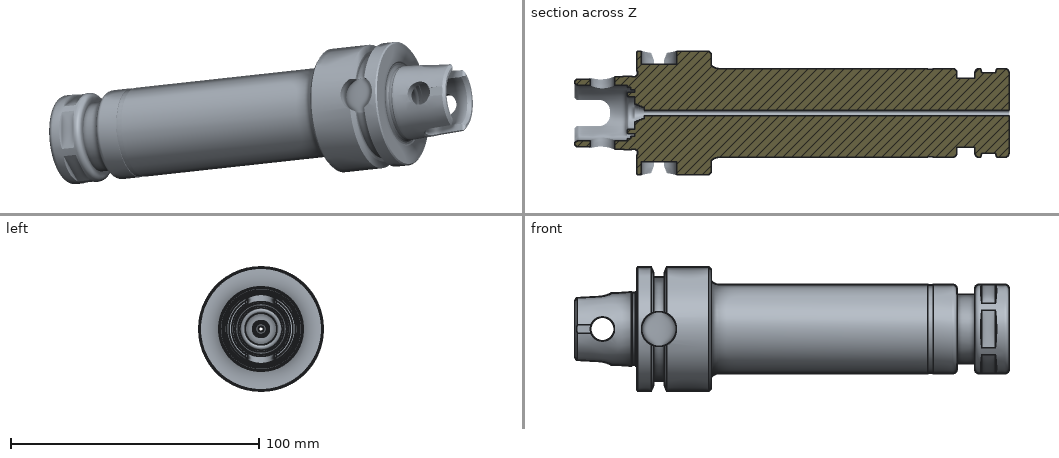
import cadquery as cq
import math


SHANK_LENGTH = 25.0
TAPER_END_RADIUS = 14.95
TAPER_END_X = -2.3
TAPER_SLOPE = 0.05
TIP_CHAMFER = 1.0
NECK_GROOVE_RADIUS = 14.7
NECK_GROOVE_START_X = -1.8
NECK_GROOVE_END_X = -0.6
NECK_SHOULDER_RADIUS = 15.2
FACE_RELIEF_RADIUS = 17.0
FACE_RELIEF_DEPTH = 0.3
FACE_RELIEF_SLOPE_WIDTH = 0.5

FLANGE_RADIUS = 25.0
FLANGE_LENGTH = 30.0
FLANGE_FRONT_CHAMFER = 0.5
FLANGE_BACK_CHAMFER = 1.0
GRIP_GROOVE_CENTRE_X = 8.95
GRIP_GROOVE_MOUTH = 6.3
GRIP_GROOVE_WIDTH = 4.1
GRIP_GROOVE_SHOULDER_RADIUS = 22.4
GRIP_GROOVE_RADIUS = 21.0

BODY_RADIUS = 18.0
BODY_END_X = 129.0
BODY_END_FILLET = 2.0
BODY_ROOT_LENGTH = 3.0
BODY_ROOT_FILLET = 4.0
RING_GROOVE_X = 117.1
RING_GROOVE_WIDTH = 2.2
RING_GROOVE_DEPTH = 0.25

COLLAR_RADIUS = 14.0
NUT_START_X = 136.0
NUT_END_X = 150.0
NUT_RADIUS = 18.0
NUT_FILLET = 2.0
NUT_FLAT_COUNT = 6
NUT_FLAT_DISTANCE = 16.3
NUT_FLAT_START_X = 138.95
NUT_FLAT_LENGTH = 5.4
NUT_FLAT_END_FLARE = 0.5

BORE_RADIUS = 11.0
BORE_CHAMFER_RADIAL = 0.8
BORE_CHAMFER_LENGTH = 1.6
BORE_DEPTH = 21.0
MIDDLE_BORE_RADIUS = 10.3
MIDDLE_BORE_DEPTH = 22.5
INNER_BORE_RADIUS = 9.25
INNER_BORE_DEPTH = 24.0
COOLANT_TUBE_RADIUS = 17.0 / 2
COOLANT_TUBE_INNER_RADIUS = 12.8 / 2
COOLANT_TUBE_LENGTH = 3.0
COOLANT_HOLE_RADII = (3.4, 6.0 / 2, 5.2 / 2, 4.5 / 2)
COOLANT_HOLE_STEP = 1.0
THROUGH_HOLE_RADIUS = 2.0 / 2

SLOT_WIDTH = 10.5
SLOT_LENGTH = 14.2
SLOT_CORNER_RADIUS = 4.4
SLOT_CHAMFER = 0.6
SLOT_MOUTH_CHAMFER = 0.9
CLAMP_HOLE_DIAMETER = 9.5
CLAMP_HOLE_FROM_TIP = 11.2
SHANK_FLAT_WIDTH = 3.6

POCKET_DIAMETER = 14.0
POCKET_FLOOR_Y = 19.7

TIP_X = -SHANK_LENGTH
CUT_MARGIN = 1.0


def taper_radius(x):
    """Radius of the shank cone at a given X."""
    return TAPER_END_RADIUS - TAPER_SLOPE * (TAPER_END_X - x)


def make_outside():
    """Revolve the outer profile, drawn as (x, radius), about the X axis."""
    taper_start_x = TIP_X + TIP_CHAMFER
    mouth_start_x = GRIP_GROOVE_CENTRE_X - GRIP_GROOVE_MOUTH / 2
    mouth_end_x = GRIP_GROOVE_CENTRE_X + GRIP_GROOVE_MOUTH / 2
    floor_start_x = GRIP_GROOVE_CENTRE_X - GRIP_GROOVE_WIDTH / 2
    floor_end_x = GRIP_GROOVE_CENTRE_X + GRIP_GROOVE_WIDTH / 2
    root_centre_x = FLANGE_LENGTH + BODY_ROOT_LENGTH
    root_centre_radius = BODY_RADIUS + BODY_ROOT_FILLET
    root_angle = math.asin(BODY_ROOT_LENGTH / BODY_ROOT_FILLET)
    root_start = (FLANGE_LENGTH, root_centre_radius - BODY_ROOT_FILLET * math.cos(root_angle))
    root_middle = (
        root_centre_x - BODY_ROOT_FILLET * math.sin(root_angle / 2),
        root_centre_radius - BODY_ROOT_FILLET * math.cos(root_angle / 2),
    )
    ring_groove_end_x = RING_GROOVE_X + RING_GROOVE_WIDTH
    ring_groove_radius = BODY_RADIUS - RING_GROOVE_DEPTH
    profile = (
        cq.Workplane("XY")
        .moveTo(TIP_X, 0)
        .lineTo(TIP_X, taper_radius(taper_start_x) - TIP_CHAMFER)
        .lineTo(taper_start_x, taper_radius(taper_start_x))
        .lineTo(TAPER_END_X, TAPER_END_RADIUS)
        .lineTo(NECK_GROOVE_START_X, NECK_GROOVE_RADIUS)
        .lineTo(NECK_GROOVE_END_X, NECK_GROOVE_RADIUS)
        .lineTo(0, NECK_SHOULDER_RADIUS)
        .lineTo(FACE_RELIEF_DEPTH, NECK_SHOULDER_RADIUS + FACE_RELIEF_SLOPE_WIDTH)
        .lineTo(FACE_RELIEF_DEPTH, FACE_RELIEF_RADIUS - FACE_RELIEF_SLOPE_WIDTH)
        .lineTo(0, FACE_RELIEF_RADIUS)
        .lineTo(0, FLANGE_RADIUS - FLANGE_FRONT_CHAMFER)
        .lineTo(FLANGE_FRONT_CHAMFER, FLANGE_RADIUS)
        .lineTo(mouth_start_x, FLANGE_RADIUS)
        .lineTo(floor_start_x, GRIP_GROOVE_SHOULDER_RADIUS)
        .lineTo(floor_start_x, GRIP_GROOVE_RADIUS)
        .lineTo(floor_end_x, GRIP_GROOVE_RADIUS)
        .lineTo(floor_end_x, GRIP_GROOVE_SHOULDER_RADIUS)
        .lineTo(mouth_end_x, FLANGE_RADIUS)
        .lineTo(FLANGE_LENGTH - FLANGE_BACK_CHAMFER, FLANGE_RADIUS)
        .lineTo(FLANGE_LENGTH, FLANGE_RADIUS - FLANGE_BACK_CHAMFER)
        .lineTo(*root_start)
        .threePointArc(root_middle, (root_centre_x, BODY_RADIUS))
        .lineTo(RING_GROOVE_X, BODY_RADIUS)
        .lineTo(RING_GROOVE_X, ring_groove_radius)
        .lineTo(ring_groove_end_x, ring_groove_radius)
        .lineTo(ring_groove_end_x, BODY_RADIUS)
        .lineTo(BODY_END_X - BODY_END_FILLET, BODY_RADIUS)
        .tangentArcPoint((BODY_END_X, BODY_RADIUS - BODY_END_FILLET), relative=False)
        .lineTo(BODY_END_X, COLLAR_RADIUS)
        .lineTo(NUT_START_X, COLLAR_RADIUS)
        .lineTo(NUT_START_X, NUT_RADIUS - NUT_FILLET)
        .radiusArc((NUT_START_X + NUT_FILLET, NUT_RADIUS), NUT_FILLET)
        .lineTo(NUT_END_X - NUT_FILLET, NUT_RADIUS)
        .radiusArc((NUT_END_X, NUT_RADIUS - NUT_FILLET), NUT_FILLET)
        .lineTo(NUT_END_X, 0)
        .close()
    )
    return profile.revolve(360, (0, 0, 0), (1, 0, 0))


def make_bore():
    """Stepped shank bore around the coolant tube, with the coolant hole through the part."""
    bore_floor_x = TIP_X + INNER_BORE_DEPTH
    lip_radius = (COOLANT_TUBE_RADIUS - COOLANT_TUBE_INNER_RADIUS) / 2
    lip_start_x = bore_floor_x - COOLANT_TUBE_LENGTH + lip_radius
    profile = (
        cq.Workplane("XY")
        .moveTo(TIP_X, 0)
        .lineTo(TIP_X, BORE_RADIUS + BORE_CHAMFER_RADIAL)
        .lineTo(TIP_X + BORE_CHAMFER_LENGTH, BORE_RADIUS)
        .lineTo(TIP_X + BORE_DEPTH, BORE_RADIUS)
        .lineTo(TIP_X + BORE_DEPTH, MIDDLE_BORE_RADIUS)
        .lineTo(TIP_X + MIDDLE_BORE_DEPTH, MIDDLE_BORE_RADIUS)
        .lineTo(TIP_X + MIDDLE_BORE_DEPTH, INNER_BORE_RADIUS)
        .lineTo(bore_floor_x, INNER_BORE_RADIUS)
        .lineTo(bore_floor_x, COOLANT_TUBE_RADIUS)
        .lineTo(lip_start_x, COOLANT_TUBE_RADIUS)
        .threePointArc(
            (lip_start_x - lip_radius, COOLANT_TUBE_RADIUS - lip_radius),
            (lip_start_x, COOLANT_TUBE_INNER_RADIUS),
        )
        .lineTo(bore_floor_x, COOLANT_TUBE_INNER_RADIUS)
    )
    step_x = bore_floor_x
    for radius in COOLANT_HOLE_RADII:
        profile = profile.lineTo(step_x, radius)
        step_x += COOLANT_HOLE_STEP
        profile = profile.lineTo(step_x, radius)
    profile = (
        profile.lineTo(step_x, THROUGH_HOLE_RADIUS)
        .lineTo(NUT_END_X + CUT_MARGIN, THROUGH_HOLE_RADIUS)
        .lineTo(NUT_END_X + CUT_MARGIN, 0)
        .close()
    )
    return profile.revolve(360, (0, 0, 0), (1, 0, 0))


def cut_drive_slots(part):
    """Cut the round-cornered slot along Z, open at the tip, and break its outer edges."""
    overrun = SLOT_CORNER_RADIUS + CUT_MARGIN
    slot = (
        cq.Workplane("XY")
        .box(SLOT_LENGTH + overrun, SLOT_WIDTH, 2 * FLANGE_RADIUS, centered=(False, True, True))
        .edges("|Z")
        .fillet(SLOT_CORNER_RADIUS)
        .translate((TIP_X - overrun, 0, 0))
    )
    half_width = SLOT_WIDTH / 2
    slot_end_x = TIP_X + SLOT_LENGTH
    part = part.cut(slot)
    for side in (-1, 1):
        slot_rim = cq.selectors.BoxSelector(
            (TIP_X + TIP_CHAMFER, -half_width - CUT_MARGIN, side * BORE_RADIUS),
            (slot_end_x + CUT_MARGIN, half_width + CUT_MARGIN, side * FLANGE_RADIUS),
        )
        part = part.edges(slot_rim).chamfer(SLOT_CHAMFER)
    mouth_half_width = half_width + SLOT_MOUTH_CHAMFER
    mouth = (
        cq.Workplane("XY")
        .moveTo(TIP_X, -mouth_half_width)
        .lineTo(TIP_X + SLOT_MOUTH_CHAMFER, -half_width)
        .lineTo(TIP_X + SLOT_MOUTH_CHAMFER, half_width)
        .lineTo(TIP_X, mouth_half_width)
        .close()
        .extrude(FLANGE_RADIUS, both=True)
    )
    return part.cut(mouth)


def make_clamp_hole():
    """Hole through both shank walls along Y."""
    return (
        cq.Workplane("XZ", origin=(TIP_X + CLAMP_HOLE_FROM_TIP, 0, 0))
        .circle(CLAMP_HOLE_DIAMETER / 2)
        .extrude(FLANGE_RADIUS, both=True)
    )


def make_shank_flat(side):
    """Narrow flat from the shank tip to the clamping hole on one Y side."""
    tip_radius = taper_radius(TIP_X + TIP_CHAMFER)
    flat_y = math.sqrt(tip_radius**2 - (SHANK_FLAT_WIDTH / 2) ** 2)
    return (
        cq.Workplane("XY")
        .box(CLAMP_HOLE_FROM_TIP, CUT_MARGIN, SHANK_FLAT_WIDTH, centered=(False, True, True))
        .translate((TIP_X, side * (flat_y + CUT_MARGIN / 2), 0))
    )


def make_drive_pocket(side):
    """Blind round pocket in the flange rim on one Y side."""
    depth = FLANGE_RADIUS - POCKET_FLOOR_Y + CUT_MARGIN
    return (
        cq.Workplane("XZ", origin=(GRIP_GROOVE_CENTRE_X, side * POCKET_FLOOR_Y, 0))
        .circle(POCKET_DIAMETER / 2)
        .extrude(-side * depth)
    )


def make_nut_flat(index):
    """Wrench flat on the nut with flared end walls, turned to its place."""
    end_x = NUT_FLAT_START_X + NUT_FLAT_LENGTH
    return (
        cq.Workplane("XY")
        .moveTo(NUT_FLAT_START_X, NUT_FLAT_DISTANCE)
        .lineTo(end_x, NUT_FLAT_DISTANCE)
        .lineTo(end_x + NUT_FLAT_END_FLARE, NUT_RADIUS)
        .lineTo(NUT_FLAT_START_X - NUT_FLAT_END_FLARE, NUT_RADIUS)
        .close()
        .extrude(NUT_RADIUS, both=True)
        .rotate((0, 0, 0), (1, 0, 0), index * 360 / NUT_FLAT_COUNT)
    )


result = cut_drive_slots(make_outside()).cut(make_bore()).cut(make_clamp_hole())
for side in (-1, 1):
    result = result.cut(make_shank_flat(side)).cut(make_drive_pocket(side))
for index in range(NUT_FLAT_COUNT):
    result = result.cut(make_nut_flat(index))